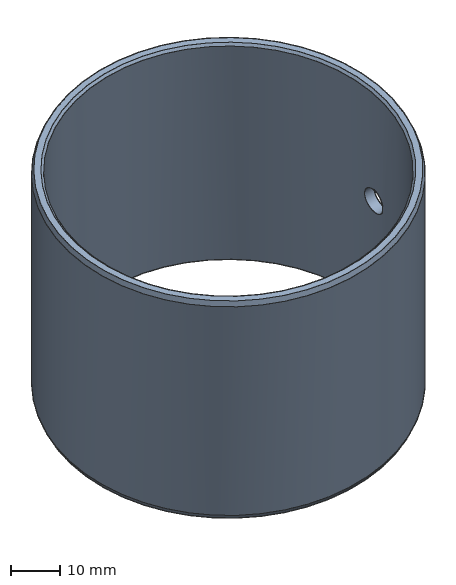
import cadquery as cq

outer_diameter = 80.0
bore_diameter = 75.0
length = 60.0
outer_chamfer_length = 1.2
outer_chamfer_depth = 0.5
bore_chamfer = 0.6
oil_hole_diameter = 6.0

outer_radius = outer_diameter / 2
bore_radius = bore_diameter / 2


def sleeve():
    """Revolve the wall section, with all four corners chamfered, about Z."""
    section = [
        (bore_radius, bore_chamfer),
        (bore_radius + bore_chamfer, 0),
        (outer_radius - outer_chamfer_depth, 0),
        (outer_radius, outer_chamfer_length),
        (outer_radius, length - outer_chamfer_length),
        (outer_radius - outer_chamfer_depth, length),
        (bore_radius + bore_chamfer, length),
        (bore_radius, length - bore_chamfer),
    ]
    return (
        cq.Workplane("XZ")
        .polyline(section)
        .close()
        .revolve(360, (0, 0), (0, 1))
    )


def oil_hole():
    """Radial cutter through the +Y wall at mid-length."""
    return (
        cq.Workplane("XZ")
        .center(0, length / 2)
        .circle(oil_hole_diameter / 2)
        .extrude(-outer_diameter)
    )


result = sleeve().cut(oil_hole())